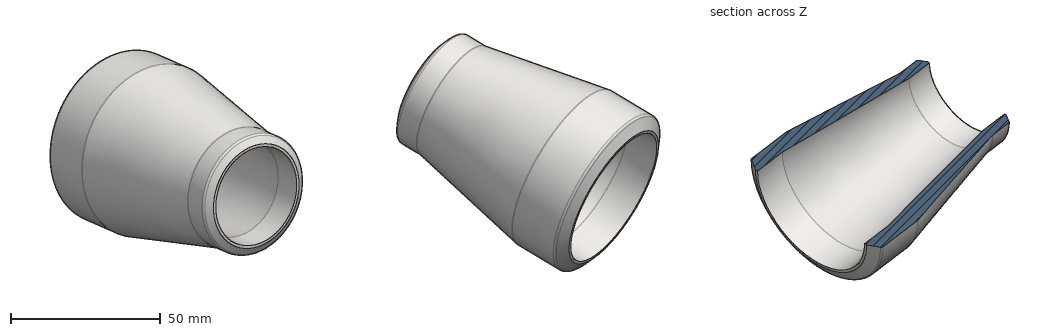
import cadquery as cq
import math

length = 76.0
large_radius = 60.3 / 2
small_radius = 42.4 / 2
large_bore_radius = 49.1 / 2
small_bore_radius = 34.4 / 2
large_straight = 20.15
small_straight = 10.0
large_bore_straight = 12.0
land_width = 1.0
bevel_angle = 30.0
edge_round = 1.0

small_straight_start = length - small_straight
large_land_radius = large_bore_radius + land_width
small_land_radius = small_bore_radius + land_width


def bevel_depth(outer_radius, land_radius):
    """Axial length of the bevel between a flat land and the outer cylinder."""
    return (outer_radius - land_radius) * math.tan(math.radians(bevel_angle))


def turned_solid(profile):
    """Revolve a list of (x, radius) points, closed along the axis, about X."""
    start_x = profile[0][0]
    end_x = profile[-1][0]
    points = [(start_x, 0)] + profile + [(end_x, 0)]
    return cq.Workplane("XY").polyline(points).close().revolve(360, (0, 0, 0), (1, 0, 0))


def round_edge(body, x, radius):
    """Round the circular edge of the given radius at axial position x."""
    margin = 0.1
    reach = radius + margin
    around_edge = cq.selectors.BoxSelector(
        (x - margin, -reach, -reach), (x + margin, reach, reach), boundingbox=True
    )
    return body.edges(around_edge).fillet(edge_round)


corner_edges = [
    (bevel_depth(large_radius, large_land_radius), large_radius),
    (large_straight, large_radius),
    (small_straight_start, small_radius),
    (length - bevel_depth(small_radius, small_land_radius), small_radius),
]
body = turned_solid([(0, large_land_radius)] + corner_edges + [(length, small_land_radius)])
for edge_x, edge_radius in corner_edges:
    body = round_edge(body, edge_x, edge_radius)

bore = turned_solid([
    (0, large_bore_radius),
    (large_bore_straight, large_bore_radius),
    (small_straight_start, small_bore_radius),
    (length, small_bore_radius),
])

result = body.cut(bore)